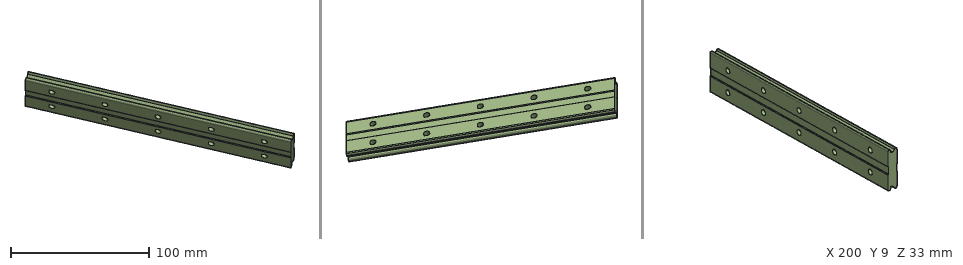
import cadquery as cq

ARC_INSET = 1 - 0.5 ** 0.5

length = 200.0
thickness = 9.0
height = 33.0
half_thickness = thickness / 2
half_height = height / 2

channel_depth = 0.5
channel_floor_half = 2.8
channel_mouth_half = 3.5

lip_width = 2.5
lip_outer_radius = 0.5
lip_inner_radius = 0.8
groove_depth = 2.5
groove_floor_width = 1.2
groove_wall_lean = 0.5

bead_center_y = 2.8
bead_half_width = 1.1
bead_flat_half = 0.5
bead_edge_drop = 1.0
shoulder_drop = 1.8

hole_diameter = 4.5
hole_columns = 5
hole_pitch_x = 40.0
hole_pitch_z = 18.0


def upper_half():
    """Extrude the upper half of the cross-section along X."""
    channel_y = half_thickness - channel_depth
    lip_inner_y = lip_width - half_thickness
    groove_front_y = lip_inner_y + groove_wall_lean
    groove_z = half_height - groove_depth
    outer_inset = ARC_INSET * lip_outer_radius
    inner_inset = ARC_INSET * lip_inner_radius
    bead_side_z = half_height - bead_edge_drop
    bead_edge_mid_y = bead_half_width - ARC_INSET * (bead_half_width - bead_flat_half)
    bead_edge_mid_z = half_height - ARC_INSET * bead_edge_drop
    return (
        cq.Workplane("YZ", origin=(-length / 2, 0, 0))
        .moveTo(-channel_y, 0)
        .lineTo(-channel_y, channel_floor_half)
        .lineTo(-half_thickness, channel_mouth_half)
        .lineTo(-half_thickness, half_height - lip_outer_radius)
        .threePointArc(
            (-half_thickness + outer_inset, half_height - outer_inset),
            (-half_thickness + lip_outer_radius, half_height),
        )
        .lineTo(lip_inner_y - lip_inner_radius, half_height)
        .threePointArc(
            (lip_inner_y - inner_inset, half_height - inner_inset),
            (lip_inner_y, half_height - lip_inner_radius),
        )
        .lineTo(groove_front_y, groove_z)
        .lineTo(groove_front_y + groove_floor_width, groove_z)
        .lineTo(bead_center_y - bead_half_width, bead_side_z)
        .threePointArc(
            (bead_center_y - bead_edge_mid_y, bead_edge_mid_z),
            (bead_center_y - bead_flat_half, half_height),
        )
        .lineTo(bead_center_y + bead_flat_half, half_height)
        .threePointArc(
            (bead_center_y + bead_edge_mid_y, bead_edge_mid_z),
            (bead_center_y + bead_half_width, bead_side_z),
        )
        .lineTo(half_thickness, half_height - shoulder_drop)
        .lineTo(half_thickness, channel_mouth_half)
        .lineTo(channel_y, channel_floor_half)
        .lineTo(channel_y, 0)
        .close()
        .extrude(length)
    )


def mounting_holes():
    """Make the cylinders that cut both rows of holes through the rail."""
    return (
        cq.Workplane("XZ", origin=(0, half_thickness, 0))
        .rarray(hole_pitch_x, hole_pitch_z, hole_columns, 2)
        .circle(hole_diameter / 2)
        .extrude(thickness)
    )


upper = upper_half()
rail = upper.union(upper.mirror("XY")).clean()
result = rail.cut(mounting_holes())